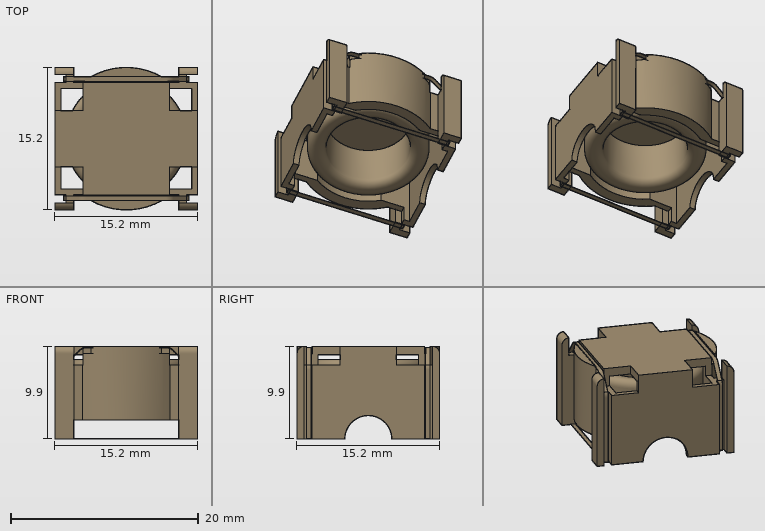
import cadquery as cq
import math


SIZE = 15.24
HALF = SIZE / 2
HEIGHT = 9.9

BOX_HALF_Y = 6.0
WALL = 0.65
CAVITY_HALF_X = HALF - WALL
CAVITY_HALF_Y = BOX_HALF_Y - WALL
ROOF = 0.91
ROOF_BOTTOM = HEIGHT - ROOF
UNDERSIDE = 2.01
OPENING_HALF_X = 6.32
CABLE_ARCH_RADIUS = 2.5

CROSS_HALF_X = 4.63
CROSS_HALF_Y = 3.0
SILL = 7.91

GROOVE_DEPTH = 0.78

POST_THICKNESS = 0.78
POST_INNER_X = 5.6
POST_INNER_Y = HALF - POST_THICKNESS
NECK_OUTER_X = 6.45

COIL_DIAMETER = 13.0
COIL_BORE = 9.0
COIL_BOTTOM = 2.5
COIL_TOP = 8.5
COIL_ROUNDING = 0.82

LOOP_THICKNESS = 0.05
LOOP_HALF_X = 6.7
LOOP_TOP = 9.78
LOOP_INNER_Y = 6.11
LOOP_OUTER_Y = 6.61
LOOP_BEND_RADIUS = 1.0
LOOP_FLAT_HALF_X = 4.3
LOOP_SLOPE = math.radians(45)


def block(x0, x1, y0, y1, z0, z1):
    """Box between two opposite corners."""
    return cq.Workplane("XY").box(x1 - x0, y1 - y0, z1 - z0, centered=False).translate((x0, y0, z0))


def centered_block(half_x, half_y, z0, z1):
    """Box centred on the Z axis."""
    return block(-half_x, half_x, -half_y, half_y, z0, z1)


def cylinder(diameter, z0, z1):
    """Cylinder on the Z axis."""
    return cq.Workplane("XY").workplane(offset=z0).circle(diameter / 2).extrude(z1 - z0)


def all_four(corner):
    """The four mirrored copies of a shape made in the +X, +Y corner."""
    back = [corner, corner.mirror("YZ")]
    return back + [shape.mirror("XZ") for shape in back]


def make_post():
    """Post with its neck in the +X, +Y corner, its outer top edge rounded over the full thickness."""
    post = block(POST_INNER_X, HALF, POST_INNER_Y, HALF, 0, HEIGHT)
    rounding_axis_z = HEIGHT - POST_THICKNESS
    rounded_end = (
        cq.Workplane("YZ", origin=(POST_INNER_X, POST_INNER_Y, rounding_axis_z))
        .circle(POST_THICKNESS)
        .extrude(HALF - POST_INNER_X)
    )
    upper_part = block(POST_INNER_X, HALF, POST_INNER_Y, HALF, rounding_axis_z, HEIGHT)
    post = post.cut(upper_part).union(upper_part.intersect(rounded_end))
    neck = block(POST_INNER_X, NECK_OUTER_X, BOX_HALF_Y, POST_INNER_Y, 0, SILL)
    return post.union(neck)


def make_loop():
    """Closed wire loop on the +Y side, with sloping shoulders between tangent bends."""
    bend_run = LOOP_BEND_RADIUS * math.sin(LOOP_SLOPE)
    bend_rise = LOOP_BEND_RADIUS * (1 - math.cos(LOOP_SLOPE))
    mid_run = LOOP_BEND_RADIUS * math.sin(LOOP_SLOPE / 2)
    mid_rise = LOOP_BEND_RADIUS * (1 - math.cos(LOOP_SLOPE / 2))

    slope_top = (LOOP_FLAT_HALF_X + bend_run, LOOP_TOP - bend_rise)
    slope_end_x = LOOP_HALF_X - bend_rise
    slope_end = (slope_end_x, slope_top[1] - (slope_end_x - slope_top[0]) * math.tan(LOOP_SLOPE))
    side_top = (LOOP_HALF_X, slope_end[1] - bend_run)

    half_outline = (
        cq.Workplane("XZ", origin=(0, LOOP_OUTER_Y, 0))
        .lineTo(LOOP_HALF_X, 0)
        .lineTo(*side_top)
        .threePointArc((LOOP_HALF_X - mid_rise, side_top[1] + mid_run), slope_end)
        .lineTo(*slope_top)
        .threePointArc((LOOP_FLAT_HALF_X + mid_run, LOOP_TOP - mid_rise), (LOOP_FLAT_HALF_X, LOOP_TOP))
        .lineTo(0, LOOP_TOP)
        .mirrorY()
    )
    plate = half_outline.extrude(LOOP_OUTER_Y - LOOP_INNER_Y)
    return plate.faces("|Y").shell(-LOOP_THICKNESS)


def make_coil():
    """Ring coil with all its edges rounded."""
    ring = cylinder(COIL_DIAMETER, COIL_BOTTOM, COIL_TOP).cut(cylinder(COIL_BORE, COIL_BOTTOM, COIL_TOP))
    return ring.edges("%CIRCLE").fillet(COIL_ROUNDING)


def make_housing(loops):
    """Box and drum, hollow and open below, with posts and with seats for the loops."""
    housing = centered_block(HALF, BOX_HALF_Y, 0, HEIGHT).union(cylinder(SIZE, UNDERSIDE, HEIGHT))

    housing = housing.cut(centered_block(CAVITY_HALF_X, CAVITY_HALF_Y, 0, ROOF_BOTTOM))
    housing = housing.cut(cylinder(COIL_DIAMETER, 0, ROOF_BOTTOM))
    housing = housing.cut(centered_block(OPENING_HALF_X, HALF, 0, UNDERSIDE))

    arch = cq.Workplane("YZ", origin=(-HALF, 0, 0)).circle(CABLE_ARCH_RADIUS).extrude(SIZE)
    housing = housing.cut(arch)

    for opening in all_four(block(CROSS_HALF_X, HALF, CROSS_HALF_Y, HALF, SILL, HEIGHT)):
        housing = housing.cut(opening)

    groove = block(-HALF, HALF, BOX_HALF_Y, LOOP_OUTER_Y, HEIGHT - GROOVE_DEPTH, HEIGHT)
    for side in (groove, groove.mirror("XZ")):
        housing = housing.cut(side)

    for post in all_four(make_post()):
        housing = housing.union(post)

    for loop in loops:
        housing = housing.cut(loop)
    return housing


back_loop = make_loop()
loops = [back_loop, back_loop.mirror("XZ")]
coil = make_coil()
housing = make_housing(loops)

result = cq.Compound.makeCompound([
    housing.solids().val(),
    coil.solids().val(),
    *[loop.val() for loop in loops],
])